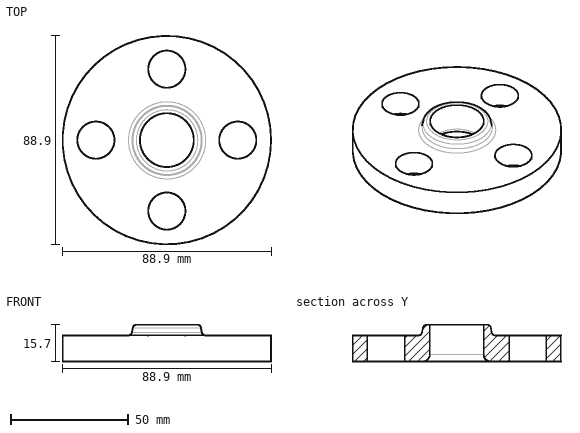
import cadquery as cq

flange_diameter = 88.9
overall_height = 15.7
flange_thickness = 11.2

hub_height = overall_height - flange_thickness
hub_base_radius = 15.2
hub_top_radius = 14.3
hub_fillet = 1.5

bore_diameter = 22.8
bore_lip_fillet = 3.0

bolt_hole_count = 4
bolt_hole_diameter = 15.7
bolt_circle_radius = 30.2


def make_body():
    """Revolve the flange and hub together, then round the hub's root and rim."""
    body = (
        cq.Workplane("XZ")
        .moveTo(0, 0)
        .lineTo(flange_diameter / 2, 0)
        .lineTo(flange_diameter / 2, flange_thickness)
        .lineTo(hub_base_radius, flange_thickness)
        .lineTo(hub_top_radius, overall_height)
        .lineTo(0, overall_height)
        .close()
        .revolve(360, (0, 0, 0), (0, 1, 0))
    )
    hub_root = cq.selectors.RadiusNthSelector(1)
    hub_rim = cq.selectors.RadiusNthSelector(0)
    body = body.edges("%CIRCLE").edges(hub_root).fillet(hub_fillet)
    return body.faces(">Z").edges(hub_rim).fillet(hub_fillet)


def cut_bore(body):
    """Drill the bore through and round its lower lip."""
    bored = body.faces("<Z").workplane(origin=(0, 0, 0)).hole(bore_diameter)
    bore_edge = cq.selectors.RadiusNthSelector(0)
    return bored.faces("<Z").edges(bore_edge).fillet(bore_lip_fillet)


def cut_bolt_holes(body):
    """Drill the evenly spaced bolt holes through the flange."""
    return (
        body.faces("<Z")
        .workplane(origin=(0, 0, 0))
        .polarArray(bolt_circle_radius, 0, 360, bolt_hole_count)
        .hole(bolt_hole_diameter)
    )


result = cut_bolt_holes(cut_bore(make_body()))